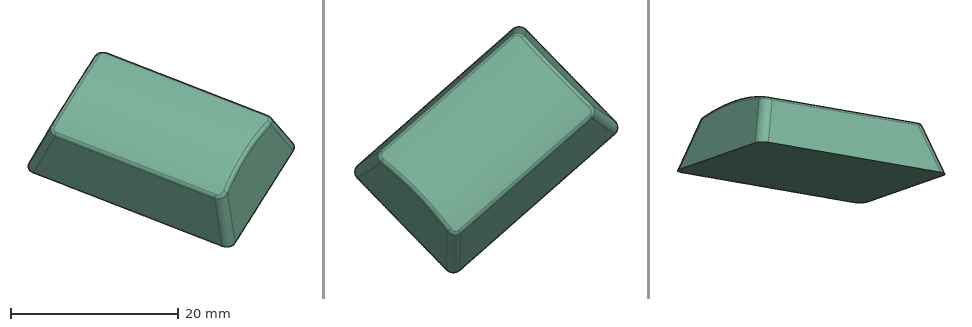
import cadquery as cq

length = 27.52
width = 18.0
height = 7.2

wall_lean = 18.0
corner_radius = 1.2

crown_radius = 24.77
top_edge_radius = 0.55

crown_stock = 0.55


def leaning_block():
    """Block with four leaning walls and rounded corner edges."""
    block = cq.Workplane("XY").rect(length, width).extrude(height + crown_stock, taper=wall_lean)
    corner_edges = block.edges("not(#Z)")
    return corner_edges.fillet(corner_radius)


def crown_cylinder():
    """Cylinder along X whose highest line is the top of the part."""
    return (
        cq.Workplane("YZ")
        .center(0, height - crown_radius)
        .circle(crown_radius)
        .extrude(length / 2, both=True)
    )


crowned_block = leaning_block().intersect(crown_cylinder())
crown_edges = crowned_block.faces(">Z").edges()
result = crown_edges.fillet(top_edge_radius)